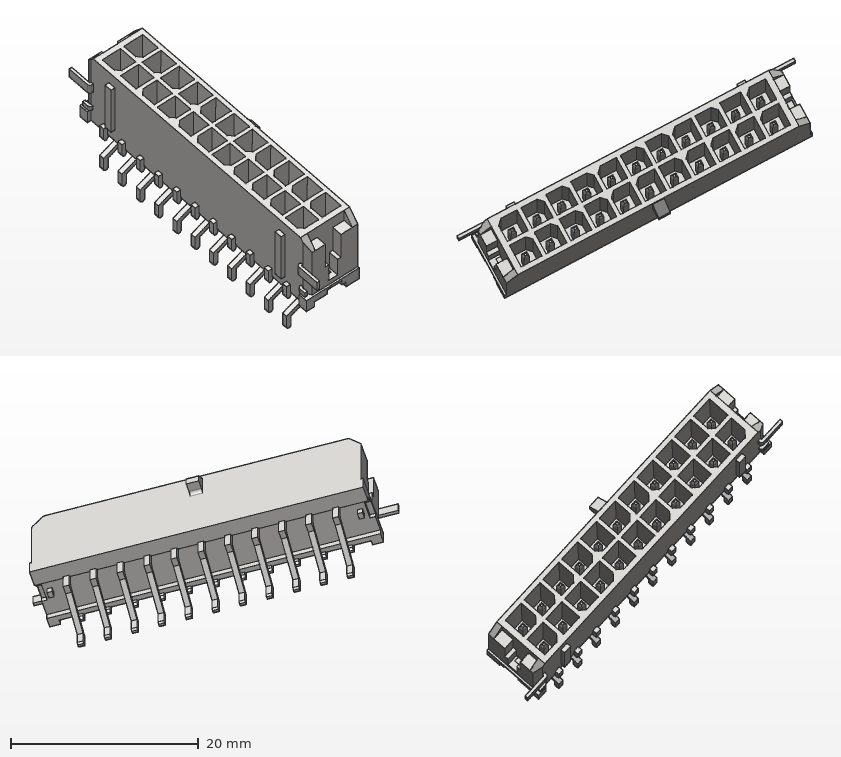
import cadquery as cq
import math


columns = 11
row_length = 30.0
pitch = row_length / (columns - 1)
front_row_y = -1.95
row_y = {"rear": front_row_y + pitch, "front": front_row_y}
pin_width = 0.65

overall_length = 40.65
front_y = -3.85
rear_y = 3.0
top_z = 9.95
core_half = 17.0
post_half = 18.35
base_half = 18.58
base_height = 1.7
mount_y = -4.4

post_top_z = 8.37
corner_x = 17.35
corner_y = -3.37
rear_gusset_y = 2.25
front_gusset_y = -2.93
groove_y = (-1.55, 0.65)
groove_step_z = 4.8
slot_y = (-1.05, 0.183)
slot_floor_z = 2.35

recess_y = (-3.25, 1.18)
recess_top_z = 0.75
notch_y = (-1.45, 0.55)
notch_top_z = 1.35
notch_x = 17.95
peg_x = 17.55
peg_y = (-0.8, -0.1)
peg_top_z = slot_floor_z - 0.05

cavity_size = 2.5
cavity_floor_z = slot_floor_z
cavity_bevel = 0.55
cavity_draft = 0.12
pin_top_z = 7.3
pin_tip_width = 0.25
pin_tip_height = 0.65
bevel_keys = {"rear": "RRRRLRRLLLL", "front": "R-LRLLRLLLR"}

tail_top_z = 1.2
short_tail_z = -0.77
long_tail_z = -5.45
tail_chamfer = 0.2
short_tail_chamfer_height = 0.33
elbow_corner_z = -1.85
elbow_flat_end_y = 0.4
elbow_inside = (0.53, -1.15)
elbow_bevel_top_z = -0.77
foot_inside_z = -3.8
foot_outside_z = -3.4

latch_width = 1.4
latch_y = 4.4
latch_catch_z = 7.0
latch_nose_z = 7.95
latch_top_z = 9.4
latch_round = 0.35
rib_x = (13.45, 14.45)
rib_z = (1.7, 8.35)
clip_thickness = 0.35
clip_z = (4.75, 6.0)
clip_foot_x = (17.07, 18.2)
clip_foot_z = (1.9, 2.55)
clip_foot_y = -4.3

column_x = [(i - (columns - 1) / 2) * pitch for i in range(columns)]


def block(x, y, z):
    """Box between two limits on each axis."""
    size = (x[1] - x[0], y[1] - y[0], z[1] - z[0])
    return cq.Workplane("XY").box(*size, centered=False).translate((x[0], y[0], z[0]))


def side_profile(points, x_center, width):
    """Y-Z outline extruded symmetrically about a plane of constant X."""
    return cq.Workplane("YZ", origin=(x_center, 0, 0)).polyline(points).close().extrude(width / 2, both=True)


def both_ends(shape):
    """The shape together with its mirror image at the other end of the header."""
    return shape.union(shape.mirror("YZ"))


def make_housing():
    outline = [
        (-post_half, rear_y), (post_half, rear_y), (post_half, corner_y),
        (corner_x, front_y), (-corner_x, front_y), (-post_half, corner_y),
    ]
    housing = cq.Workplane("XY").polyline(outline).close().extrude(top_z)
    slope = (
        cq.Workplane("XZ")
        .polyline([(-core_half, top_z), (-post_half, post_top_z), (-post_half, top_z)])
        .close()
        .extrude(overall_length / 2, both=True)
    )
    end_x = (-post_half, -core_half)
    cuts = slope.union(block(end_x, (front_gusset_y, rear_gusset_y), (post_top_z, top_z)))
    cuts = cuts.union(block(end_x, groove_y, (groove_step_z, top_z)))
    cuts = cuts.union(block(end_x, slot_y, (slot_floor_z, top_z)))
    housing = housing.cut(both_ends(cuts))

    flange = block((-base_half, -corner_x), (mount_y, rear_y), (0, base_height))
    housing = housing.union(both_ends(flange))
    housing = housing.cut(both_ends(block((-peg_x, -core_half), peg_y, (peg_top_z, slot_floor_z))))

    housing = housing.cut(block((-base_half, base_half), recess_y, (0, recess_top_z)))
    housing = housing.cut(both_ends(block((-base_half, -notch_x), notch_y, (0, notch_top_z))))
    return housing.union(both_ends(block((-peg_x, -core_half), peg_y, (0, peg_top_z))))


def make_cavity(x, row, key):
    half = cavity_size / 2
    y = row_y[row]
    cavity = block((x - half, x + half), (y - half, y + half), (cavity_floor_z, top_z))
    if key != "-":
        corner = "<X and <Y" if key == "L" else ">X and <Y"
        cavity = cavity.edges("|Z").edges(corner).chamfer(cavity_bevel)
    if row == "rear":
        wall = y + half
        draft = [(wall, cavity_floor_z), (wall + cavity_draft, top_z), (y, top_z), (y, cavity_floor_z)]
        cavity = cavity.union(side_profile(draft, x, cavity_size))
    return cavity


def make_pin(x, row):
    shaft_top = pin_top_z - pin_tip_height
    half = pin_width / 2
    y = row_y[row]
    shaft = block((x - half, x + half), (y - half, y + half), (base_height, shaft_top))
    tip = (
        cq.Workplane("XY", origin=(x, y, shaft_top))
        .rect(pin_width, pin_width)
        .workplane(offset=pin_tip_height)
        .rect(pin_tip_width, pin_tip_width)
        .loft()
    )
    return shaft.union(tip)


def make_short_tail(x):
    half = pin_width / 2
    tail = block((x - half, x + half), (mount_y, mount_y + pin_width), (short_tail_z, tail_top_z))
    return tail.faces("<Z").edges("|X").chamfer(short_tail_chamfer_height, tail_chamfer)


def make_long_tail(x):
    root_rear_y = row_y["rear"] + pin_width / 2
    root_front_y = row_y["rear"] - pin_width / 2
    foot_rear_y = mount_y + pin_width
    outline = [
        (root_rear_y, base_height),
        (root_rear_y, elbow_corner_z),
        (elbow_flat_end_y, elbow_corner_z),
        (foot_rear_y, foot_inside_z),
        (foot_rear_y, long_tail_z),
        (mount_y, long_tail_z),
        (mount_y, foot_outside_z),
        elbow_inside,
        (root_front_y, elbow_bevel_top_z),
        (root_front_y, base_height),
    ]
    tail = side_profile(outline, x, pin_width)
    return tail.faces("<Z").edges("|X").chamfer(tail_chamfer)


def make_latch():
    """Wedge on the rear wall; a concave quarter round joins its catch face to the wall."""
    round_center = (rear_y + latch_round, latch_catch_z - latch_round)
    diagonal = latch_round * math.sqrt(0.5)
    round_middle = (round_center[0] - diagonal, round_center[1] + diagonal)
    return (
        cq.Workplane("YZ")
        .moveTo(rear_y, round_center[1])
        .threePointArc(round_middle, (round_center[0], latch_catch_z))
        .lineTo(latch_y, latch_catch_z)
        .lineTo(latch_y, latch_nose_z)
        .lineTo(rear_y, latch_top_z)
        .close()
        .extrude(latch_width / 2, both=True)
    )


def make_clip(x, z, plate_y):
    """Plate parallel to the front wall whose inner end bends back into the housing."""
    plate = block((-x[1], -x[0]), (plate_y, plate_y + clip_thickness), z)
    bent_leg = block((-x[0] - clip_thickness, -x[0]), (plate_y, front_y + clip_thickness), z)
    return plate.union(bent_leg).edges("|Z").edges(">X and <Y").fillet(clip_thickness)


result = make_housing()

for row, keys in bevel_keys.items():
    for x, key in zip(column_x, keys):
        result = result.cut(make_cavity(x, row, key))
        result = result.union(make_pin(x, row))
for x in column_x:
    result = result.union(make_short_tail(x))
    result = result.union(make_long_tail(x))

result = result.union(make_latch())
result = result.union(both_ends(block((-rib_x[1], -rib_x[0]), (mount_y, front_y), rib_z)))
clip_x = (core_half, overall_length / 2)
result = result.union(both_ends(make_clip(clip_x, clip_z, mount_y)))
result = result.union(both_ends(make_clip(clip_foot_x, clip_foot_z, clip_foot_y)))